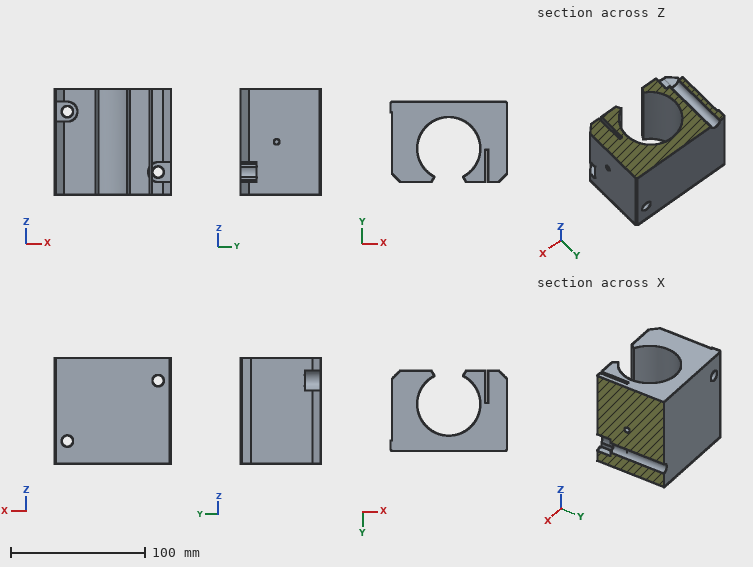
import cadquery as cq
import math

width = 87.0
depth = 60.0
height = 79.0
front_y = -25.0
back_y = front_y + depth
right_x = width / 2
left_x = -width / 2

back_chamfer = 1.05
front_chamfer = 6.2
ledge_depth = 1.1
ledge_length = 8.0

bore_diameter = 47.0
mouth_half_width = 12.9
mouth_flare_angle = 30.0

slot_center_x = 28.4
slot_width = 1.9
slot_depth = 24.0

mount_x = 33.8
mount_z = height / 2 - 17.0
mount_diameter = 8.35
recess_diameter = 15.0
recess_depth = 12.0

cross_diameter = 4.2
cross_y = 2.0


def block():
    body_left_x = left_x + ledge_depth
    outline = [
        (body_left_x + front_chamfer, front_y),
        (right_x - front_chamfer, front_y),
        (right_x, front_y + front_chamfer),
        (right_x, back_y - back_chamfer),
        (right_x - back_chamfer, back_y),
        (left_x + back_chamfer, back_y),
        (left_x, back_y - back_chamfer),
        (left_x, back_y - ledge_length),
        (body_left_x, back_y - ledge_length),
        (body_left_x, front_y + front_chamfer),
    ]
    return cq.Workplane("XY").polyline(outline).close().extrude(height / 2, both=True)


def bore_and_mouth():
    bore = cq.Workplane("XY").circle(bore_diameter / 2).extrude(height / 2, both=True)
    apex_y = front_y + mouth_half_width / math.tan(math.radians(mouth_flare_angle))
    mouth = (
        cq.Workplane("XY")
        .polyline([(-mouth_half_width, front_y), (mouth_half_width, front_y), (0, apex_y)])
        .close()
        .extrude(height / 2, both=True)
    )
    return bore.union(mouth)


def clamping_slot():
    return cq.Workplane("XY").box(slot_width, slot_depth, height).translate(
        (slot_center_x, front_y + slot_depth / 2, 0)
    )


def mounting_hole(side):
    """Through hole and recess; side is +1 at the lower right, -1 at the upper left."""
    x = side * mount_x
    z = -side * mount_z
    front = cq.Workplane("XZ", origin=(x, front_y, z))
    hole = front.circle(mount_diameter / 2).extrude(-depth)
    round_end = front.circle(recess_diameter / 2).extrude(-recess_depth)
    open_length = right_x - mount_x
    open_side = (
        front.center(side * open_length / 2, 0)
        .rect(open_length, recess_diameter)
        .extrude(-recess_depth)
    )
    return hole.union(round_end).union(open_side)


def cross_hole():
    return (
        cq.Workplane("YZ", origin=(0, cross_y, 0))
        .circle(cross_diameter / 2)
        .extrude(right_x)
    )


result = block().cut(bore_and_mouth()).cut(clamping_slot()).cut(cross_hole())
for side in (-1, 1):
    result = result.cut(mounting_hole(side))